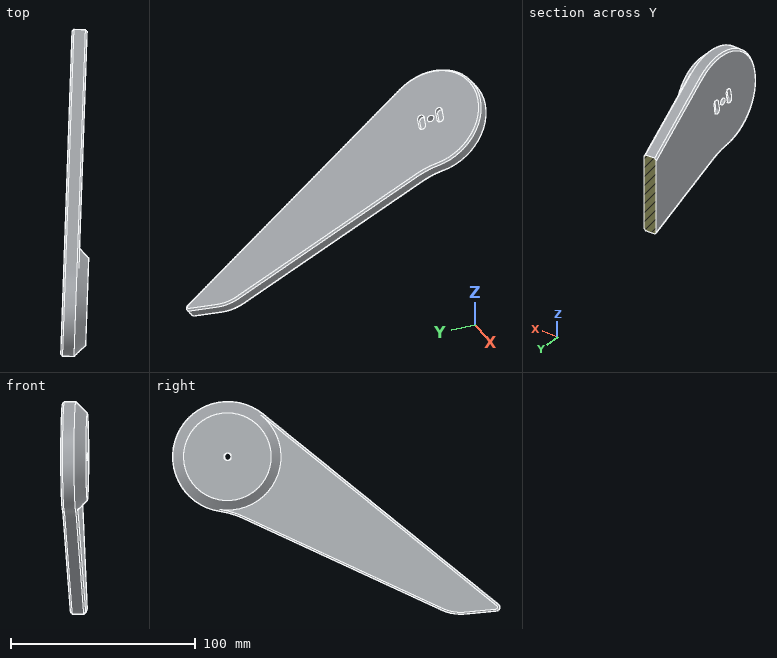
import cadquery as cq
import math

tilt_angle = 2.0
plate_thickness = 8.3
edge_chamfer = 1.0
head_radius = 30.0

tip_reach = 147.2
tip_radius = 2.1
tip_center_y = tip_reach - tip_radius
tip_center_z = -81.5
heel_y = 121.9
heel_radius = 24.8
lower_edge_angle = 24.8
tip_edge_angle = 5.5
neck_radius = 44.3

boss_height = 5.1
boss_base_radius = head_radius - edge_chamfer
boss_top_radius = boss_base_radius - boss_height

hole_diameter = 3.9
slot_length = 9.0
slot_width = 3.9
slot_depth = 2.7
slot_offset = 5.5
slot_angle = -11.0


def polar(radius, angle):
    """Point at a radius and an angle in degrees about the pivot."""
    return radius * math.cos(math.radians(angle)), radius * math.sin(math.radians(angle))


def tip_corner(upper_angle):
    """Sharp corner whose two edges are both tangent to the tip circle."""
    upper_normal = polar(1, upper_angle)
    lower_normal = polar(1, tip_edge_angle - 90)
    stretch = tip_radius / (1 + upper_normal[0] * lower_normal[0] + upper_normal[1] * lower_normal[1])
    return (
        tip_center_y + stretch * (upper_normal[0] + lower_normal[0]),
        tip_center_z + stretch * (upper_normal[1] + lower_normal[1]),
    )


def make_plate():
    """Blade with a round head, rounded corners and chamfered rims."""
    center_distance = math.hypot(tip_center_y, tip_center_z)
    center_angle = math.degrees(math.atan2(tip_center_z, tip_center_y))
    tangent_angle = center_angle + math.degrees(math.acos((head_radius - tip_radius) / center_distance))
    tip = tip_corner(tangent_angle)

    heel = (heel_y, tip[1] - (tip[0] - heel_y) * math.tan(math.radians(tip_edge_angle)))

    edge_y, edge_z = polar(1, 180 - lower_edge_angle)
    along = heel[0] * edge_y + heel[1] * edge_z
    reach = -along - math.sqrt(along**2 - heel[0]**2 - heel[1]**2 + head_radius**2)
    neck = (heel[0] + reach * edge_y, heel[1] + reach * edge_z)

    plate = (
        cq.Workplane("YZ")
        .moveTo(*polar(head_radius, tangent_angle))
        .lineTo(*tip)
        .lineTo(*heel)
        .lineTo(*neck)
        .threePointArc((-head_radius, 0), polar(head_radius, tangent_angle))
        .close()
        .extrude(plate_thickness)
    )
    for corner, radius in ((tip, tip_radius), (heel, heel_radius), (neck, neck_radius)):
        middle = (plate_thickness / 2, *corner)
        plate = plate.edges(cq.selectors.NearestToPointSelector(middle)).fillet(radius)
    return plate.faces("<X or >X").edges().chamfer(edge_chamfer)


def make_boss():
    """Truncated cone standing on the +X face, centred on the pivot."""
    cone = cq.Solid.makeCone(
        boss_base_radius,
        boss_top_radius,
        boss_height,
        cq.Vector(plate_thickness, 0, 0),
        cq.Vector(1, 0, 0),
    )
    return cq.Workplane(cone)


def make_cutouts():
    """Pivot hole through everything and two slots sunk in the -X face."""
    hole = cq.Workplane("YZ").circle(hole_diameter / 2).extrude(plate_thickness + boss_height)
    slots = (
        cq.Workplane("YZ")
        .pushPoints([(-slot_offset, 0), (slot_offset, 0)])
        .slot2D(slot_length, slot_width, 90)
        .extrude(slot_depth)
        .rotate((0, 0, 0), (1, 0, 0), slot_angle)
    )
    return hole.union(slots)


blade = make_plate().union(make_boss()).cut(make_cutouts())
result = blade.rotate((0, 0, 0), (0, 0, 1), -tilt_angle)